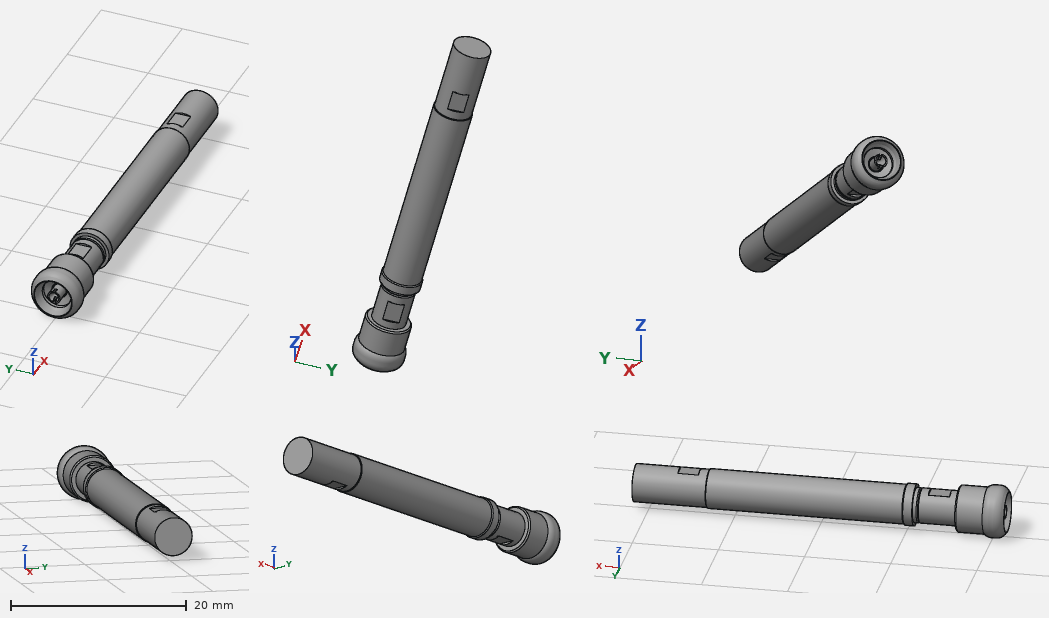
import cadquery as cq
import math

plunger_end = 10.1
collar_start = 10.65
collar_end = 11.7
barrel_end = 34.7
probe_length = 43.2

bead_diameter = 6.1
bead_radius = bead_diameter / 2
bead_round = 1.12
bead_slope = math.radians(45)
bead_land_start = 1.1
bead_land_end = 1.65
rim_outer_radius = 2.38
head_radius = bead_radius - bead_round * (1 - math.cos(bead_slope))
head_end = 5.65
head_chamfer = 0.17

mouth_radius = 2.3
mouth_step_radius = 2.05
mouth_step_depth = 0.7
seat_radius = 1.75
throat_depth = 1.05
seat_depth = 1.45
insulator_end = 3.45

shank_radius = 2.05
groove_chamfer = 0.15

collar_radius = 2.4
barrel_radius = 2.3
collar_ramp_end = collar_end + collar_radius - barrel_radius
tail_radius = 2.2
barrel_chamfer = barrel_radius - tail_radius

flat_width = 1.95
shank_flat_start = 6.55
shank_flat_length = 2.45
shank_flat_height = 1.75
tail_flat_start = 35.73
tail_flat_length = 2.38
tail_flat_height = 2.0

dish_depth = 0.4
clearance_radius = 0.9
clearance_depth = 0.15
contact_radius = 0.78
contact_tip = 0.25
cup_radius = 0.6
cup_depth = 1.3
slot_width = 0.3
slot_depth = 0.65
contact_end = 2.6


def turned(profile):
    """Close an (axial, radial) outline drawn on the XY plane and revolve it about X."""
    return profile.close().revolve(360, (0, 0, 0), (1, 0, 0))


def cut_flats(body, start, length, height):
    """Mill a rectangular flat on the top and the bottom of a round body."""
    cutter_height = bead_radius
    for side in (1, -1):
        cutter = (
            cq.Workplane("XY")
            .box(length, flat_width, cutter_height)
            .translate((start + length / 2, 0, side * (height + cutter_height / 2)))
        )
        body = body.cut(cutter)
    return body


def make_plunger():
    """Moving outer contact: bead, head and shank in one turned piece, hollow at the front."""
    arc_reach = bead_round * math.sin(bead_slope)
    half_reach = bead_round * math.sin(bead_slope / 2)
    half_radius = bead_radius - bead_round * (1 - math.cos(bead_slope / 2))
    profile = (
        cq.Workplane("XY")
        .moveTo(insulator_end, 0)
        .lineTo(insulator_end, seat_radius)
        .lineTo(throat_depth, seat_radius)
        .lineTo(mouth_step_depth, mouth_step_radius)
        .lineTo(0, mouth_radius)
        .lineTo(0, rim_outer_radius)
        .lineTo(bead_land_start - arc_reach, head_radius)
        .threePointArc((bead_land_start - half_reach, half_radius), (bead_land_start, bead_radius))
        .lineTo(bead_land_end, bead_radius)
        .threePointArc((bead_land_end + half_reach, half_radius), (bead_land_end + arc_reach, head_radius))
        .lineTo(head_end - head_chamfer, head_radius)
        .lineTo(head_end, head_radius - head_chamfer)
        .lineTo(head_end, shank_radius)
        .lineTo(plunger_end - groove_chamfer, shank_radius)
        .lineTo(plunger_end, shank_radius - groove_chamfer)
        .lineTo(plunger_end, 0)
    )
    return cut_flats(turned(profile), shank_flat_start, shank_flat_length, shank_flat_height)


def make_insulator():
    """Dished disc in the plunger bore, with a clearance ring around the contact."""
    dish_bottom = seat_depth + dish_depth
    profile = (
        cq.Workplane("XY")
        .moveTo(contact_end, 0)
        .lineTo(contact_end, contact_radius)
        .lineTo(dish_bottom + clearance_depth, contact_radius)
        .lineTo(dish_bottom + clearance_depth, clearance_radius)
        .lineTo(dish_bottom, clearance_radius)
        .lineTo(seat_depth, seat_radius)
        .lineTo(insulator_end, seat_radius)
        .lineTo(insulator_end, 0)
    )
    return turned(profile)


def make_contact():
    """Centre pin with a conical cup and one slot across its tip."""
    profile = (
        cq.Workplane("XY")
        .moveTo(contact_tip + cup_depth, 0)
        .lineTo(contact_tip, cup_radius)
        .lineTo(contact_tip, contact_radius)
        .lineTo(contact_end, contact_radius)
        .lineTo(contact_end, 0)
    )
    slot = (
        cq.Workplane("XY")
        .box(slot_depth, slot_width, 2 * contact_radius)
        .translate((contact_tip + slot_depth / 2, 0, 0))
    )
    return turned(profile).cut(slot)


def make_barrel():
    """Outer sleeve with a chamfered nose, a stop collar and a chamfered rear end."""
    profile = (
        cq.Workplane("XY")
        .moveTo(plunger_end, 0)
        .lineTo(plunger_end, shank_radius - groove_chamfer)
        .lineTo(plunger_end + groove_chamfer, shank_radius)
        .lineTo(collar_start, shank_radius)
        .lineTo(collar_start, collar_radius)
        .lineTo(collar_end, collar_radius)
        .lineTo(collar_ramp_end, barrel_radius)
        .lineTo(barrel_end - barrel_chamfer, barrel_radius)
        .lineTo(barrel_end, barrel_radius - barrel_chamfer)
        .lineTo(barrel_end, 0)
    )
    return turned(profile)


def make_tail():
    """Plain rear cylinder with two flats."""
    tail = cq.Workplane("YZ").workplane(offset=barrel_end).circle(tail_radius).extrude(probe_length - barrel_end)
    return cut_flats(tail, tail_flat_start, tail_flat_length, tail_flat_height)


plunger = make_plunger()
insulator = make_insulator()
contact = make_contact()
barrel = make_barrel()
tail = make_tail()

result = cq.Compound.makeCompound(
    [plunger.val(), insulator.val(), contact.val(), barrel.val(), tail.val()]
)